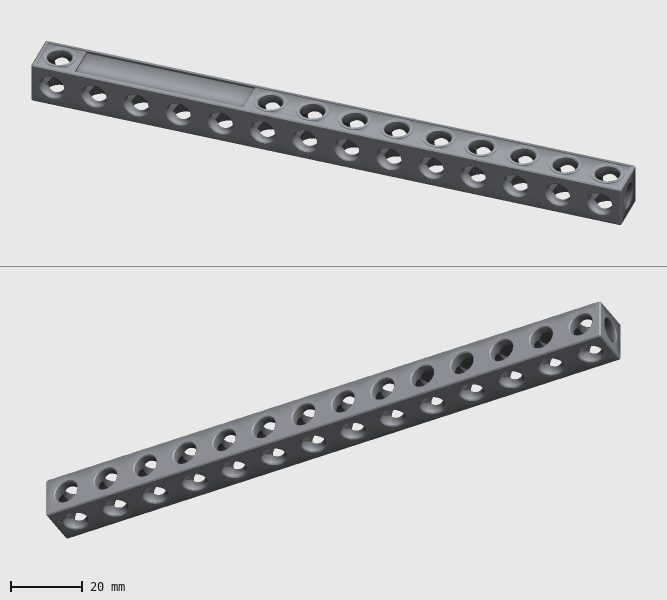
import cadquery as cq

length = 175.0
cell_count = 14
pitch = length / cell_count
width = pitch
half_width = width / 2
edge_chamfer = 0.4

hole_radius = 7.0 / 2
mouth_chamfer = 0.3

border = 1.14
recess_depth = 0.2
rim_diameter = 9.3

panel_first_cell = 1
panel_cell_count = 4
panel_depth = 0.7
panel_thickness = 1.0
panel_start = panel_first_cell * pitch
panel_end = panel_start + panel_cell_count * pitch

cell_centers = [(i + 0.5) * pitch for i in range(cell_count)]
covered_centers = cell_centers[panel_first_cell:panel_first_cell + panel_cell_count]
open_centers = [x for x in cell_centers if x not in covered_centers]


def beam():
    """Solid bar from X = 0, centred on the X axis, with all edges chamfered."""
    block = cq.Workplane("XY").box(length, width, width, centered=(False, True, True))
    return block.edges().chamfer(edge_chamfer)


def top_pocket(start, end, depth):
    """Rectangular cutter for the top face between two X positions."""
    floor = cq.Workplane("XY", origin=((start + end) / 2, 0, half_width - depth))
    return floor.rect(end - start, width - 2 * border).extrude(depth)


def top_recess():
    """Recess around the open holes, leaving the rims, and the deeper panel between."""
    rims = (
        cq.Workplane("XY", origin=(0, 0, half_width - recess_depth))
        .pushPoints([(x, 0) for x in open_centers])
        .circle(rim_diameter / 2)
        .extrude(recess_depth)
    )
    return (
        top_pocket(border, panel_start, recess_depth)
        .union(top_pocket(panel_start, panel_end, panel_depth))
        .union(top_pocket(panel_end, length - border, recess_depth))
        .cut(rims)
    )


def through_hole(span):
    """Vertical hole cutter centred on the origin, flared at both ends."""
    end = span / 2
    mouth_radius = hole_radius + mouth_chamfer
    profile = [
        (0, -end),
        (mouth_radius, -end),
        (hole_radius, -end + mouth_chamfer),
        (hole_radius, end - mouth_chamfer),
        (mouth_radius, end),
        (0, end),
    ]
    return cq.Workplane("XZ").polyline(profile).close().revolve(360, (0, 0), (0, 1))


def covered_hole():
    """Vertical hole cutter, flared at the bottom face, that stops below the panel."""
    ceiling = half_width - panel_depth - panel_thickness
    cover = cq.Workplane("XY", origin=(0, 0, ceiling)).rect(width, width).extrude(half_width - ceiling)
    return through_hole(width).cut(cover)


lengthwise_hole = through_hole(length).rotate((0, 0, 0), (0, 1, 0), 90).translate((length / 2, 0, 0))
sideways_hole = through_hole(width).rotate((0, 0, 0), (1, 0, 0), 90)

result = beam().cut(top_recess()).cut(lengthwise_hole)
for x in cell_centers:
    result = result.cut(sideways_hole.translate((x, 0, 0)))
for x in open_centers:
    result = result.cut(through_hole(width).translate((x, 0, 0)))
for x in covered_centers:
    result = result.cut(covered_hole().translate((x, 0, 0)))